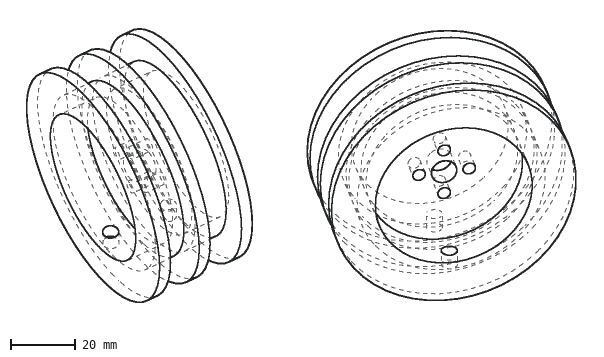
import cadquery as cq

flange_diameter = 78.0
hub_diameter = 60.0
width = 34.0
flange_thickness = 4.0
middle_flange_start = 14.5

recess_diameter = 50.0
recess_depth = 13.5

shaft_hole_diameter = 8.0
bolt_hole_diameter = 4.0
bolt_circle_diameter = 16.0
bolt_count = 4

cord_hole_diameter = 5.0
cord_hole_distance = flange_thickness + cord_hole_diameter / 2

front_face = -width / 2


def disc(diameter, start, length):
    """Cylinder along Y, starting at a distance from the front face."""
    plane = cq.Plane(origin=(0, front_face + start, 0), xDir=(1, 0, 0), normal=(0, 1, 0))
    return cq.Workplane(plane).circle(diameter / 2).extrude(length)


def bolt_holes():
    """Ring of holes parallel to the axis."""
    plane = cq.Plane(origin=(0, front_face, 0), xDir=(1, 0, 0), normal=(0, 1, 0))
    return (
        cq.Workplane(plane)
        .polarArray(bolt_circle_diameter / 2, 0, 360, bolt_count)
        .circle(bolt_hole_diameter / 2)
        .extrude(width)
    )


def cord_hole(distance):
    """Hole running down from the spool axis, placed by its distance from the front face."""
    return (
        cq.Workplane("XY")
        .center(0, front_face + distance)
        .circle(cord_hole_diameter / 2)
        .extrude(-hub_diameter / 2)
    )


result = disc(hub_diameter, 0, width)
for flange_start in (0, middle_flange_start, width - flange_thickness):
    result = result.union(disc(flange_diameter, flange_start, flange_thickness))

for recess_start in (0, width - recess_depth):
    result = result.cut(disc(recess_diameter, recess_start, recess_depth))
for hole_distance in (cord_hole_distance, width - cord_hole_distance):
    result = result.cut(cord_hole(hole_distance))

result = result.cut(disc(shaft_hole_diameter, 0, width))
result = result.cut(bolt_holes())